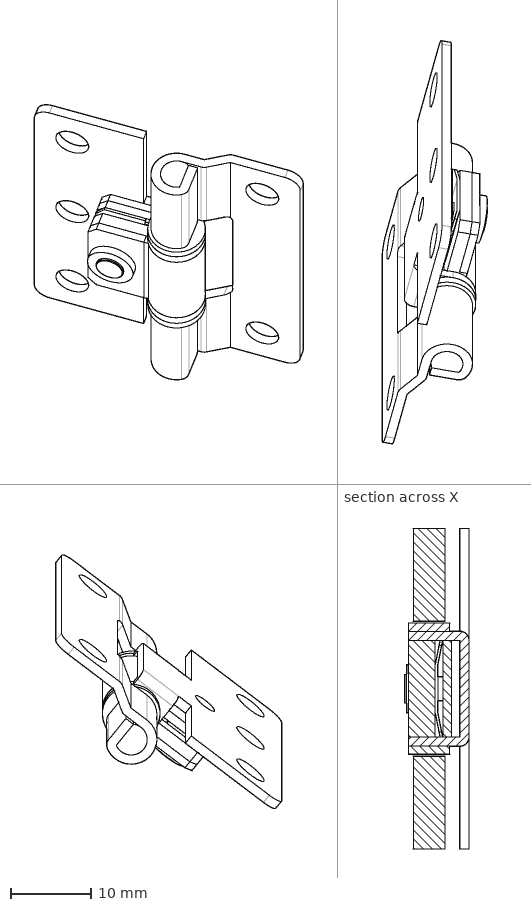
import cadquery as cq
import math


HEIGHT = 40.0
SHEET = 1.2
PIN_RADIUS = 2.0
PIN_FLAT_X = 1.0
CURL_RADIUS = PIN_RADIUS + SHEET
BARREL_RADIUS = 3.6
LEAF_BACK_Y = 5.0
LEAF_FRONT_Y = LEAF_BACK_Y - SHEET
CORNER_RADIUS = 2.0

HOLE_DIAMETER = 4.3
HOLE_Z = 15.0

LEFT_EDGE_X = -20.0
LEFT_INNER_X = -5.6
LEFT_HOLE_X = -15.0
FLANGE_RIGHT_X = 2.0

RIGHT_EDGE_X = 15.0
RIGHT_HOLE_X = 10.0
JOGGLE_END_X = 5.8
JOGGLE_ANGLE = math.radians(32)
WINDOW_EDGE_X = 6.1
WINDOW_CORNER_RADIUS = 1.0

BARREL_HALF = 6.0
FLANGE_TOP_Z = BARREL_HALF + SHEET
WASHER_THICKNESS = 1.0
WASHER_TOP_Z = FLANGE_TOP_Z + WASHER_THICKNESS
END_GAP = 0.2
WINDOW_HALF = WASHER_TOP_Z + END_GAP

CLAMP_PLATE = 1.0
REAR_EAR = 1.1
EAR_GAP = 0.95
FRONT_EAR = 1.55
REAR_EAR_BACK_Y = LEAF_FRONT_Y - CLAMP_PLATE
GAP_BACK_Y = REAR_EAR_BACK_Y - REAR_EAR
GAP_FRONT_Y = GAP_BACK_Y - EAR_GAP
FRONT_EAR_FRONT_Y = GAP_FRONT_Y - FRONT_EAR
STACK_FRONT_Y = FRONT_EAR_FRONT_Y - CLAMP_PLATE
STACK_LEFT_X = -11.05
STACK_RIGHT_X = -3.7
STACK_CHAMFER = 1.1

SPRING_THICKNESS = 0.35
SPRING_FLAT_HALF = 3.0
NOTCH_LEFT_X = -4.6
NOTCH_DEPTH = 0.6

RIVET_X = -7.8
RIVET_RADIUS = 1.5
RIVET_HEAD_RADIUS = 3.0
RIVET_HEAD_HEIGHT = 1.0
RIVET_TIP_RADIUS = 1.8
RIVET_TIP_HEIGHT = 0.3
RIVET_TIP_CHAMFER = 0.1


def box(x_min, x_max, y_min, y_max, z_min, z_max):
    """Box between two opposite corners."""
    size = (x_max - x_min, y_max - y_min, z_max - z_min)
    return cq.Workplane("XY").box(*size, centered=False).translate((x_min, y_min, z_min))


def z_cylinder(radius, z_min, z_max):
    """Cylinder on the pin axis."""
    return cq.Workplane("XY").workplane(offset=z_min).circle(radius).extrude(z_max - z_min)


def y_cylinder(radius, y_front, y_back, x, z=0.0):
    """Cylinder parallel to Y, used for the rivet and for holes through the sheets."""
    section = cq.Workplane("XZ", origin=(0, y_back, 0)).center(x, z).circle(radius)
    return section.extrude(y_back - y_front)


def screw_hole(x, z):
    return y_cylinder(HOLE_DIAMETER / 2, LEAF_FRONT_Y, LEAF_BACK_Y, x, z)


def rivet_hole():
    return y_cylinder(RIVET_RADIUS, STACK_FRONT_Y, LEAF_BACK_Y, RIVET_X)


def stack_layer(y_front, y_back, right_x):
    """Rectangular layer of the clamp stack with its two left corners chamfered."""
    layer = box(STACK_LEFT_X, right_x, y_front, y_back, -BARREL_HALF, BARREL_HALF)
    return layer.edges("|Y and <X").chamfer(STACK_CHAMFER)


def left_flange(side):
    """Flange bent forward from the tab, carrying the pin; side is +1 (top) or -1 (bottom)."""
    bend_mid = SHEET * math.sqrt(0.5)
    web = (
        cq.Workplane("YZ", origin=(-BARREL_RADIUS, 0, 0))
        .moveTo(0, BARREL_HALF)
        .lineTo(LEAF_BACK_Y, BARREL_HALF)
        .threePointArc(
            (LEAF_FRONT_Y + bend_mid, BARREL_HALF + bend_mid), (LEAF_FRONT_Y, FLANGE_TOP_Z)
        )
        .lineTo(0, FLANGE_TOP_Z)
        .close()
        .extrude(FLANGE_RIGHT_X + BARREL_RADIUS)
    )
    flange = web.union(z_cylinder(BARREL_RADIUS, BARREL_HALF, FLANGE_TOP_Z))
    flange = flange.cut(z_cylinder(PIN_RADIUS, BARREL_HALF, FLANGE_TOP_Z))
    return flange if side > 0 else flange.mirror("XY")


def make_left_leaf():
    leaf = box(LEFT_EDGE_X, LEFT_INNER_X, LEAF_FRONT_Y, LEAF_BACK_Y, -HEIGHT / 2, HEIGHT / 2)
    leaf = leaf.edges("|Y and <X").fillet(CORNER_RADIUS)
    leaf = leaf.union(
        box(LEFT_INNER_X, FLANGE_RIGHT_X, LEAF_FRONT_Y, LEAF_BACK_Y, -BARREL_HALF, BARREL_HALF)
    )
    for side in (-1, 1):
        leaf = leaf.union(left_flange(side))
    for z in (-HOLE_Z, 0, HOLE_Z):
        leaf = leaf.cut(screw_hole(LEFT_HOLE_X, z))
    return leaf.cut(rivet_hole())


def right_leaf_profile():
    """Section of the right leaf: flat, joggle, and curl wrapped round the flatted pin.

    Every bend is sharp inside and has a radius of one sheet thickness outside.
    """
    sin_a = math.sin(JOGGLE_ANGLE)
    cos_a = math.cos(JOGGLE_ANGLE)
    half_sin = math.sin(JOGGLE_ANGLE / 2)
    half_cos = math.cos(JOGGLE_ANGLE / 2)
    rise = LEAF_FRONT_Y - CURL_RADIUS
    joggle_start_x = JOGGLE_END_X - (SHEET + rise * cos_a) / sin_a

    pin_corner_y = math.sqrt(PIN_RADIUS**2 - PIN_FLAT_X**2)
    wrap = CURL_RADIUS / PIN_RADIUS
    wrap_end = (PIN_FLAT_X * wrap, -pin_corner_y * wrap)
    tip_x = PIN_FLAT_X + SHEET
    bend_angle = math.atan2(pin_corner_y, PIN_FLAT_X) / 2
    bend_mid = (
        PIN_FLAT_X + SHEET * math.cos(bend_angle),
        -pin_corner_y - SHEET * math.sin(bend_angle),
    )

    return (
        cq.Workplane("XY")
        .workplane(offset=-HEIGHT / 2)
        .moveTo(RIGHT_EDGE_X, LEAF_FRONT_Y)
        .lineTo(RIGHT_EDGE_X, LEAF_BACK_Y)
        .lineTo(JOGGLE_END_X, LEAF_BACK_Y)
        .threePointArc(
            (JOGGLE_END_X - SHEET * half_sin, LEAF_FRONT_Y + SHEET * half_cos),
            (JOGGLE_END_X - SHEET * sin_a, LEAF_FRONT_Y + SHEET * cos_a),
        )
        .lineTo(joggle_start_x, CURL_RADIUS)
        .lineTo(0, CURL_RADIUS)
        .threePointArc((-CURL_RADIUS, 0), wrap_end)
        .threePointArc(bend_mid, (tip_x, -pin_corner_y))
        .lineTo(tip_x, pin_corner_y)
        .lineTo(PIN_FLAT_X, pin_corner_y)
        .lineTo(PIN_FLAT_X, -pin_corner_y)
        .threePointArc((-PIN_RADIUS, 0), (0, PIN_RADIUS))
        .lineTo(joggle_start_x, PIN_RADIUS)
        .threePointArc(
            (joggle_start_x + SHEET * half_sin, CURL_RADIUS - SHEET * half_cos),
            (joggle_start_x + SHEET * sin_a, CURL_RADIUS - SHEET * cos_a),
        )
        .lineTo(JOGGLE_END_X, LEAF_FRONT_Y)
        .close()
    )


def make_right_leaf():
    leaf = right_leaf_profile().extrude(HEIGHT)
    leaf = leaf.edges("|Y and >X").fillet(CORNER_RADIUS)
    window = box(
        -BARREL_RADIUS, WINDOW_EDGE_X, -BARREL_RADIUS, LEAF_BACK_Y, -WINDOW_HALF, WINDOW_HALF
    )
    leaf = leaf.cut(window.edges("|Y and >X").fillet(WINDOW_CORNER_RADIUS))
    for z in (-HOLE_Z, HOLE_Z):
        leaf = leaf.cut(screw_hole(RIGHT_HOLE_X, z))
    return leaf


def make_pin():
    """Pin that is round in the barrel and flatted where the right leaf grips it."""
    pin = z_cylinder(PIN_RADIUS, -HEIGHT / 2, HEIGHT / 2)
    for z_min, z_max in ((-HEIGHT / 2, -WASHER_TOP_Z), (WASHER_TOP_Z, HEIGHT / 2)):
        pin = pin.cut(box(PIN_FLAT_X, PIN_RADIUS, -PIN_RADIUS, PIN_RADIUS, z_min, z_max))
    return pin


def make_washer(z_min):
    z_max = z_min + WASHER_THICKNESS
    return z_cylinder(BARREL_RADIUS, z_min, z_max).cut(z_cylinder(PIN_RADIUS, z_min, z_max))


def make_barrel():
    """Split barrel gripping the pin, with two ears that the rivet pulls together."""
    barrel = z_cylinder(BARREL_RADIUS, -BARREL_HALF, BARREL_HALF)
    barrel = barrel.union(stack_layer(GAP_BACK_Y, REAR_EAR_BACK_Y, 0))
    barrel = barrel.union(stack_layer(FRONT_EAR_FRONT_Y, GAP_FRONT_Y, 0))
    shoulder = box(
        STACK_RIGHT_X, 0, STACK_FRONT_Y, FRONT_EAR_FRONT_Y, -BARREL_HALF, BARREL_HALF
    )
    slit = box(STACK_LEFT_X, 0, GAP_FRONT_Y, GAP_BACK_Y, -BARREL_HALF, BARREL_HALF)
    bore = z_cylinder(PIN_RADIUS, -BARREL_HALF, BARREL_HALF)
    return barrel.union(shoulder).cut(slit).cut(bore).cut(rivet_hole())


def make_clamp_plate(y_front):
    return stack_layer(y_front, y_front + CLAMP_PLATE, STACK_RIGHT_X).cut(rivet_hole())


def make_spring():
    """Bowed plate between the ears: flat on the front ear, both ends bent to the rear ear."""
    end_y = GAP_BACK_Y - SPRING_THICKNESS
    flat_back_y = GAP_FRONT_Y + SPRING_THICKNESS
    bowed = (
        cq.Workplane("YZ", origin=(STACK_LEFT_X, 0, 0))
        .polyline([
            (end_y, -BARREL_HALF),
            (GAP_FRONT_Y, -SPRING_FLAT_HALF),
            (GAP_FRONT_Y, SPRING_FLAT_HALF),
            (end_y, BARREL_HALF),
            (GAP_BACK_Y, BARREL_HALF),
            (flat_back_y, SPRING_FLAT_HALF),
            (flat_back_y, -SPRING_FLAT_HALF),
            (GAP_BACK_Y, -BARREL_HALF),
        ])
        .close()
        .extrude(STACK_RIGHT_X - STACK_LEFT_X)
    )
    spring = bowed.intersect(stack_layer(GAP_FRONT_Y, GAP_BACK_Y, STACK_RIGHT_X))
    notch_z = BARREL_HALF - NOTCH_DEPTH
    for z_min, z_max in ((-BARREL_HALF, -notch_z), (notch_z, BARREL_HALF)):
        spring = spring.cut(
            box(NOTCH_LEFT_X, STACK_RIGHT_X, GAP_FRONT_Y, GAP_BACK_Y, z_min, z_max)
        )
    return spring.cut(rivet_hole())


def make_rivet():
    """Rivet through the whole stack and the left leaf, with a stepped front head."""
    head_front_y = STACK_FRONT_Y - RIVET_HEAD_HEIGHT
    tip_front_y = head_front_y - RIVET_TIP_HEIGHT
    tip = y_cylinder(RIVET_TIP_RADIUS, tip_front_y, head_front_y, RIVET_X)
    rivet = rivet_hole()
    rivet = rivet.union(y_cylinder(RIVET_HEAD_RADIUS, head_front_y, STACK_FRONT_Y, RIVET_X))
    return rivet.union(tip.faces("<Y").chamfer(RIVET_TIP_CHAMFER))


left_leaf = make_left_leaf()
right_leaf = make_right_leaf()
pin = make_pin()
washers = [make_washer(z_min) for z_min in (-WASHER_TOP_Z, FLANGE_TOP_Z)]
barrel = make_barrel()
clamp_plates = [make_clamp_plate(y_front) for y_front in (STACK_FRONT_Y, REAR_EAR_BACK_Y)]
spring = make_spring()
rivet = make_rivet()

result = cq.Compound.makeCompound([
    left_leaf.solids().val(),
    right_leaf.solids().val(),
    pin.solids().val(),
    *[washer.solids().val() for washer in washers],
    barrel.solids().val(),
    *[plate.solids().val() for plate in clamp_plates],
    spring.solids().val(),
    rivet.solids().val(),
])